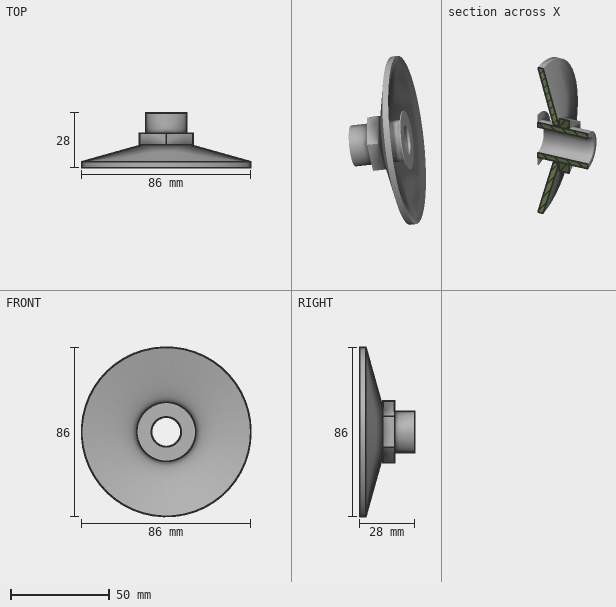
import cadquery as cq
import math

TOTAL_LENGTH = 28.0
BORE_RADIUS = 15.0 / 2

DISH_RADIUS = 86 / 2
RIM_HEIGHT = 3.1
DISH_HEIGHT = 11.8
DISH_TOP_RADIUS = 23.8 / 2
DISH_HOLE_RADIUS = 22.0 / 2

FLANGE_RADIUS = 30.0 / 2
FLANGE_THICKNESS = 0.5
BUSHING_RADIUS = 21.0 / 2

NUT_ACROSS_FLATS = 27.2
NUT_THICKNESS = 5.9


def revolve_about_y(points):
    """Turn a closed (radius, Y) outline about the Y axis."""
    return cq.Workplane("XY").polyline(points).close().revolve(360, (0, 0, 0), (0, 1, 0))


def make_dish():
    """Conical shell, as thick at its central hole as the rim is high."""
    hole_underside = DISH_HEIGHT - RIM_HEIGHT
    return revolve_about_y([
        (DISH_RADIUS, 0),
        (DISH_RADIUS, RIM_HEIGHT),
        (DISH_TOP_RADIUS, DISH_HEIGHT),
        (DISH_HOLE_RADIUS, DISH_HEIGHT),
        (DISH_HOLE_RADIUS, hole_underside),
    ])


def make_bushing():
    """Bored tube with a thin flange at its open end."""
    return revolve_about_y([
        (BORE_RADIUS, 0),
        (FLANGE_RADIUS, 0),
        (FLANGE_RADIUS, FLANGE_THICKNESS),
        (BUSHING_RADIUS, FLANGE_THICKNESS),
        (BUSHING_RADIUS, TOTAL_LENGTH),
        (BORE_RADIUS, TOTAL_LENGTH),
    ])


def make_nut():
    """Hexagon with two corners on the Z axis, bored to fit the bushing."""
    across_corners = NUT_ACROSS_FLATS / math.cos(math.pi / 6)
    hexagon = (
        cq.Workplane("XY")
        .polygon(6, across_corners)
        .circle(BUSHING_RADIUS)
        .extrude(NUT_THICKNESS)
    )
    upright = hexagon.rotate((0, 0, 0), (0, 0, 1), 90).rotate((0, 0, 0), (1, 0, 0), -90)
    return upright.translate((0, DISH_HEIGHT, 0))


dish = make_dish()
bushing = make_bushing()
nut = make_nut()

result = cq.Compound.makeCompound([dish.val(), bushing.val(), nut.val()])